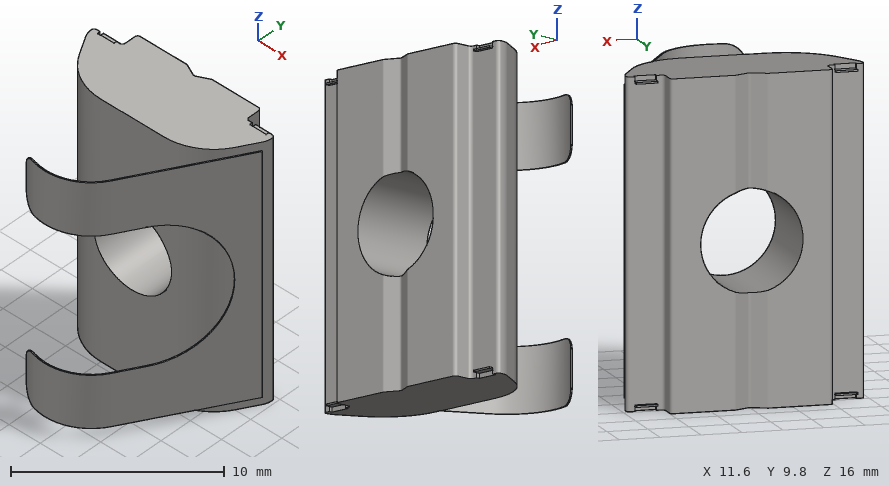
import cadquery as cq
import math

LENGTH = 16
HALF_WIDTH = 5.8
DEPTH = 4.6
LEDGE_Y = 3.58
NECK_HALF_WIDTH = 3.97
SMALL_ROUND = 0.18
FLANK_ANGLE = math.radians(60)
NOSE_RADIUS = 3.45
SHOULDER_RADIUS = 1.1
GROOVE_HALF_WIDTH = 0.8
GROOVE_DEPTH = 0.38
GROOVE_ROUND = 0.2
BOLT_HOLE_DIAMETER = 5.0

TAB_INNER_X = 4.35
TAB_OUTER_X = 5.4
TAB_BOTTOM_Y = 3.4
TAB_TOP_Y = 3.8
RECESS_DEPTH = 0.24
TAB_THICKNESS = 0.08

SHEET = 0.08
CURL_RADIUS = 3.14
CURL_BOTTOM_Y = DEPTH - 9.8
TIP_ANGLE = math.radians(33)
SPRING_HALF_LENGTH = 7.49
LEG_GAP_HALF = 4.24
GAP_END_X = 4.98
TIP_ROUND = 0.86

SIN, COS = math.sin(FLANK_ANGLE), math.cos(FLANK_ANGLE)
shoulder_y = LEDGE_Y - SMALL_ROUND
flank_top = (HALF_WIDTH - SHOULDER_RADIUS * (1 - SIN), shoulder_y - SHOULDER_RADIUS * COS)


def on_flank(y):
    """Point at height y on the straight line of the +X flank."""
    return (flank_top[0] - (flank_top[1] - y) * COS / SIN, y)


def offset(point):
    """Point moved outward by the sheet thickness, square to the flank."""
    return (point[0] + SHEET * SIN, point[1] - SHEET * COS)


def on_circle(center, radius, angle):
    """Point on a circle, angle measured from straight down toward +X."""
    return (center[0] + radius * math.sin(angle), center[1] - radius * math.cos(angle))


def make_half_body():
    """The +X half of the body."""
    flank_bottom = on_flank(NOSE_RADIUS * (1 - COS))
    nose_center = (flank_bottom[0] - NOSE_RADIUS * SIN, NOSE_RADIUS)
    shoulder_center = (HALF_WIDTH - SHOULDER_RADIUS, shoulder_y)
    shoulder_mid_angle = (FLANK_ANGLE + math.pi / 2) / 2
    half = (
        cq.Workplane("XY")
        .moveTo(0, 0)
        .lineTo(nose_center[0], 0)
        .threePointArc(on_circle(nose_center, NOSE_RADIUS, FLANK_ANGLE / 2), flank_bottom)
        .lineTo(*flank_top)
        .threePointArc(
            on_circle(shoulder_center, SHOULDER_RADIUS, shoulder_mid_angle), (HALF_WIDTH, shoulder_y)
        )
        .radiusArc((HALF_WIDTH - SMALL_ROUND, LEDGE_Y), -SMALL_ROUND)
        .lineTo(NECK_HALF_WIDTH, LEDGE_Y)
        .lineTo(NECK_HALF_WIDTH, DEPTH)
        .lineTo(GROOVE_HALF_WIDTH, DEPTH)
        .lineTo(0, DEPTH - GROOVE_DEPTH)
        .close()
        .extrude(LENGTH / 2, both=True)
    )
    for y in (LEDGE_Y, DEPTH):
        half = half.edges(cq.selectors.NearestToPointSelector((NECK_HALF_WIDTH, y, 0))).fillet(SMALL_ROUND)
    return half


def make_body():
    half = make_half_body()
    body = half.union(half.mirror("YZ")).clean()
    for x, y in (
        (-GROOVE_HALF_WIDTH, DEPTH),
        (GROOVE_HALF_WIDTH, DEPTH),
        (0, DEPTH - GROOVE_DEPTH),
    ):
        body = body.edges(cq.selectors.NearestToPointSelector((x, y, 0))).fillet(GROOVE_ROUND)
    hole = cq.Workplane("XZ").circle(BOLT_HOLE_DIAMETER / 2).extrude(-DEPTH)
    return body.cut(hole)


def box_between(low, high):
    size = [b - a for a, b in zip(low, high)]
    return cq.Workplane("XY").box(*size, centered=False).translate(low)


def add_end_tabs(body):
    """Recess both ends of both ledges and set a tab on each recess floor."""
    floor_z = LENGTH / 2 - RECESS_DEPTH
    tab_low = (TAB_INNER_X, TAB_BOTTOM_Y, floor_z - TAB_THICKNESS)
    recess = box_between((TAB_INNER_X, TAB_BOTTOM_Y, floor_z), (TAB_OUTER_X, TAB_TOP_Y, LENGTH / 2))
    tab = box_between(tab_low, (TAB_OUTER_X, TAB_TOP_Y, floor_z))
    for flip_x in (False, True):
        for flip_z in (False, True):
            cutter, pad = recess, tab
            if flip_x:
                cutter, pad = cutter.mirror("YZ"), pad.mirror("YZ")
            if flip_z:
                cutter, pad = cutter.mirror("XY"), pad.mirror("XY")
            body = body.cut(cutter).union(pad)
    return body


def make_spring():
    inner_radius = CURL_RADIUS - SHEET
    center_y = CURL_BOTTOM_Y + CURL_RADIUS
    curl_start = on_flank(center_y - inner_radius * COS)
    center = (curl_start[0] - inner_radius * SIN, center_y)
    tip_outer = on_circle(center, CURL_RADIUS, -TIP_ANGLE)
    sheet = (
        cq.Workplane("XY")
        .moveTo(*flank_top)
        .lineTo(*curl_start)
        .threePointArc(on_circle(center, inner_radius, 0), on_circle(center, inner_radius, -TIP_ANGLE))
        .lineTo(*tip_outer)
        .threePointArc(on_circle(center, CURL_RADIUS, 0), offset(curl_start))
        .lineTo(*offset(flank_top))
        .close()
        .extrude(SPRING_HALF_LENGTH, both=True)
    )

    gap_x = GAP_END_X - LEG_GAP_HALF * COS
    gap_y = flank_top[1] - (flank_top[0] - gap_x) * SIN / COS
    sheet_plane = cq.Plane(origin=(gap_x, gap_y, 0), xDir=(0, 0, 1), normal=(SIN, -COS, 0))
    round_end = cq.Workplane(sheet_plane).circle(LEG_GAP_HALF).extrude(2 * SHEET, both=True)
    straight_gap = box_between(
        (-HALF_WIDTH, CURL_BOTTOM_Y, -LEG_GAP_HALF), (gap_x, gap_y, LEG_GAP_HALF)
    )
    sheet = sheet.cut(round_end).cut(straight_gap)

    legs_outline = cq.Workplane("XY")
    for side in (-1, 1):
        leg_middle = side * (SPRING_HALF_LENGTH + LEG_GAP_HALF) / 2
        leg = box_between(
            (tip_outer[0], CURL_BOTTOM_Y, -(SPRING_HALF_LENGTH - LEG_GAP_HALF) / 2),
            (gap_x, gap_y, (SPRING_HALF_LENGTH - LEG_GAP_HALF) / 2),
        )
        leg = leg.edges("|Y and <X").fillet(TIP_ROUND)
        legs_outline = legs_outline.add(leg.translate((0, 0, leg_middle)).val())
    web = box_between(
        (0, CURL_BOTTOM_Y, -SPRING_HALF_LENGTH), (HALF_WIDTH, DEPTH, SPRING_HALF_LENGTH)
    )
    return sheet.intersect(web.union(legs_outline.combine()))


result = add_end_tabs(make_body()).union(make_spring())